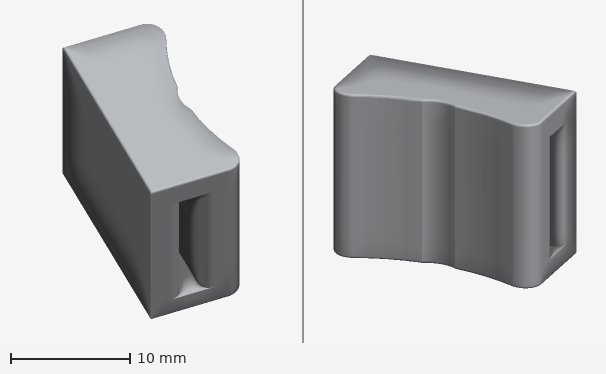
import cadquery as cq
import math

length = 19.0
depth = 8.6
height = 15.0
edge_radius = 0.2

corner_radius = 1.5
saddle_radius = 18.81
saddle_floor = 7.05
groove_radius = 3.0
groove_floor = 6.7

slot_bottom = 1.71
slot_height = 11.2
slot_front = 2.93
slot_width = 1.77
mouth_radius = 1.0


def body():
    """Block with a wide saddle and a small central groove across its back."""
    half = length / 2
    corner_y = depth - corner_radius
    corner_x = half - corner_radius
    diagonal = corner_radius * math.sqrt(0.5)
    saddle_y = saddle_floor + saddle_radius
    groove_y = groove_floor + groove_radius

    center_distance = saddle_radius + corner_radius
    shoulder_x = math.sqrt(center_distance**2 - (saddle_y - corner_y) ** 2)
    tilt = math.asin(shoulder_x / center_distance)

    def shoulder_point(angle):
        return (
            shoulder_x - corner_radius * math.sin(angle),
            corner_y + corner_radius * math.cos(angle),
        )

    def saddle_point(angle):
        return (saddle_radius * math.sin(angle), saddle_y - saddle_radius * math.cos(angle))

    centers_gap = saddle_y - groove_y
    rim_drop = (saddle_radius**2 - groove_radius**2 + centers_gap**2) / (2 * centers_gap)
    rim_angle = math.acos(rim_drop / saddle_radius)
    rim = saddle_point(rim_angle)
    saddle_middle = saddle_point((tilt + rim_angle) / 2)

    def mirrored(point):
        return (-point[0], point[1])

    outline = (
        cq.Workplane("XY")
        .moveTo(-half, 0)
        .lineTo(half, 0)
        .lineTo(half, corner_y)
        .threePointArc((corner_x + diagonal, corner_y + diagonal), (corner_x, depth))
        .lineTo(shoulder_x, depth)
        .threePointArc(shoulder_point(tilt / 2), shoulder_point(tilt))
        .threePointArc(saddle_middle, rim)
        .threePointArc((0, groove_floor), mirrored(rim))
        .threePointArc(mirrored(saddle_middle), mirrored(shoulder_point(tilt)))
        .threePointArc(mirrored(shoulder_point(tilt / 2)), (-shoulder_x, depth))
        .lineTo(-corner_x, depth)
        .threePointArc((-corner_x - diagonal, corner_y + diagonal), (-half, corner_y))
        .close()
    )
    return outline.extrude(height).faces("<Z or >Z").fillet(edge_radius)


def slot():
    """Cutter for the slot, flaring at both ends around the mouth radius."""
    half = length / 2
    inner_x = half - mouth_radius
    slot_back = slot_front + slot_width
    bend = mouth_radius * math.sqrt(0.5)
    bend_x = inner_x + bend
    bend_y = mouth_radius - bend
    return (
        cq.Workplane("XY")
        .workplane(offset=slot_bottom)
        .moveTo(-inner_x, slot_front)
        .lineTo(inner_x, slot_front)
        .threePointArc((bend_x, slot_front - bend_y), (half, slot_front - mouth_radius))
        .lineTo(half, slot_back + mouth_radius)
        .threePointArc((bend_x, slot_back + bend_y), (inner_x, slot_back))
        .lineTo(-inner_x, slot_back)
        .threePointArc((-bend_x, slot_back + bend_y), (-half, slot_back + mouth_radius))
        .lineTo(-half, slot_front - mouth_radius)
        .threePointArc((-bend_x, slot_front - bend_y), (-inner_x, slot_front))
        .close()
        .extrude(slot_height)
    )


result = body().cut(slot())